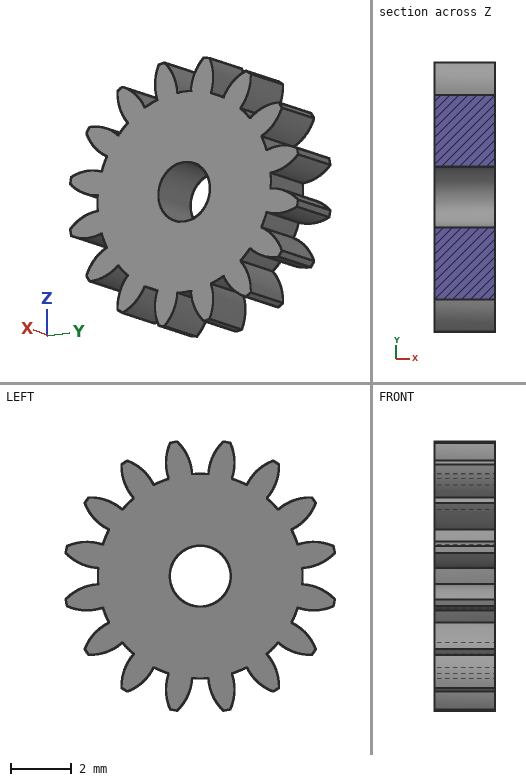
import cadquery as cq
import math

tooth_count = 16
tooth_module = 0.5
face_width = 2.0
bore_diameter = 2.0
dedendum_factor = 1.25
flank_radius = 1.6
tooth_half_width = 0.413
widest_point_radius = 3.57

pitch_radius = tooth_module * tooth_count / 2
tip_radius = pitch_radius + tooth_module
root_radius = pitch_radius - dedendum_factor * tooth_module
tooth_pitch = 360 / tooth_count
first_tooth_angle = tooth_pitch / 2


def flank_angle(radius):
    """Angle (radians) from the tooth centreline to the flank at a given gear radius."""
    center_offset = flank_radius - tooth_half_width
    center_distance = math.hypot(widest_point_radius, center_offset)
    center_angle = math.atan2(center_offset, widest_point_radius)
    cosine = (radius**2 + center_distance**2 - flank_radius**2) / (2 * radius * center_distance)
    return math.acos(cosine) - center_angle


def polar(radius, angle):
    """Point at a given radius and angle (radians) around the gear axis."""
    return (radius * math.cos(angle), radius * math.sin(angle))


def make_blank():
    """Root disc, with its back face on the YZ plane and extending along +X."""
    return cq.Workplane("YZ").circle(root_radius).extrude(face_width)


def make_tooth():
    """Tooth centred on the +Y axis, with its foot carried into the disc."""
    root_angle = flank_angle(root_radius)
    tip_angle = flank_angle(tip_radius)
    foot_radius = root_radius - tooth_module
    widest_point = (widest_point_radius, tooth_half_width)
    return (
        cq.Workplane("YZ")
        .moveTo(*polar(foot_radius, root_angle))
        .lineTo(*polar(root_radius, root_angle))
        .threePointArc(widest_point, polar(tip_radius, tip_angle))
        .threePointArc((tip_radius, 0), polar(tip_radius, -tip_angle))
        .threePointArc((widest_point_radius, -tooth_half_width), polar(root_radius, -root_angle))
        .lineTo(*polar(foot_radius, -root_angle))
        .close()
        .extrude(face_width)
    )


def make_bore():
    """Through hole along the gear axis."""
    return cq.Workplane("YZ").circle(bore_diameter / 2).extrude(face_width)


gear = make_blank()
tooth = make_tooth()
for index in range(tooth_count):
    tooth_angle = first_tooth_angle + index * tooth_pitch
    gear = gear.union(tooth.rotate((0, 0, 0), (1, 0, 0), tooth_angle))

result = gear.cut(make_bore())